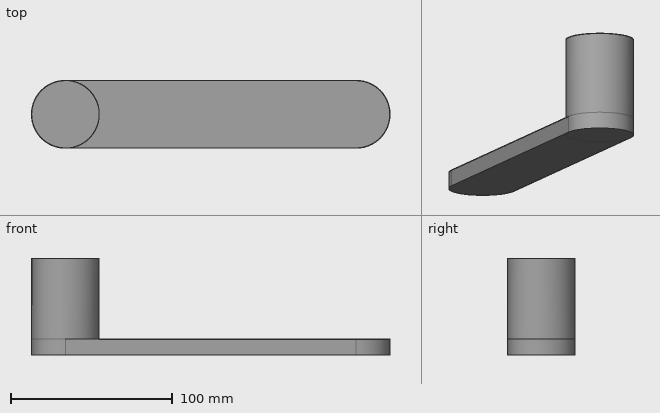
import cadquery as cq

length = 222.0
width = 42.0
height = 60.0
arm_thickness = 10.0

end_spacing = length - width

arm = (
    cq.Workplane("XY")
    .center(end_spacing / 2, 0)
    .slot2D(length, width)
    .extrude(arm_thickness)
)

post = cq.Workplane("XY").circle(width / 2).extrude(height)

result = arm.union(post)